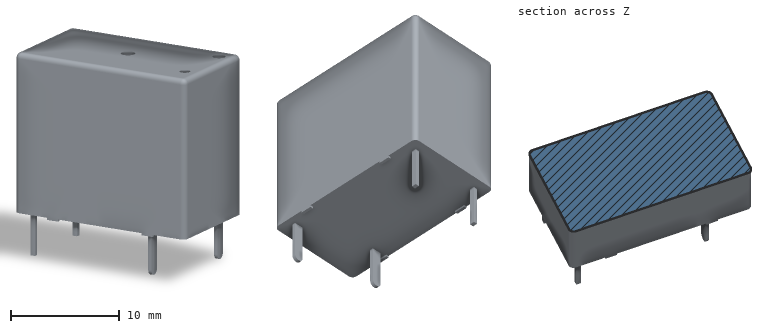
import cadquery as cq

CASE_LENGTH = 18.2
CASE_WIDTH = 10.21
CASE_HEIGHT = 15.3
CASE_EDGE_RADIUS = 0.5

STANDOFF_LENGTH = 1.15
STANDOFF_WIDTH = 0.3
STANDOFF_HEIGHT = 0.2
STANDOFF_X = 5.04

PIN_DROP = 4.2
PIN_PITCH = 2.54
PIN_ROW_Y = 1.5 * PIN_PITCH
COIL_PIN_X = -7.82
COIL_PIN_LENGTH = 0.5
COIL_PIN_WIDTH = 0.4
CONTACT_PIN_THICKNESS = 0.35
CONTACT_PIN_WIDTH = 1.0
NEAR_CONTACT_X = COIL_PIN_X + 5 * PIN_PITCH
FAR_CONTACT_X = COIL_PIN_X + 6 * PIN_PITCH

RECESS_DEPTH = 0.2
RECESSES = [
    (0, 0, 1.35),
    (7.74, 3.34, 1.2),
    (7.56, -2.52, 1.0),
]


def hanging_block(x, y, length, width, drop):
    """Rectangular block reaching from the underside of the case down by `drop`."""
    block = cq.Workplane("XY").box(length, width, drop, centered=(True, True, False))
    return block.translate((x, y, -drop))


def make_case():
    """Box with rounded vertical and top edges and a sharp bottom rim."""
    case = cq.Workplane("XY").box(CASE_LENGTH, CASE_WIDTH, CASE_HEIGHT, centered=(True, True, False))
    return case.edges("|Z or >Z").fillet(CASE_EDGE_RADIUS)


def cut_recesses(case):
    """Sink the round recesses into the top face."""
    for x, y, diameter in RECESSES:
        recess = cq.Workplane("XY").circle(diameter / 2).extrude(RECESS_DEPTH)
        case = case.cut(recess.translate((x, y, CASE_HEIGHT - RECESS_DEPTH)))
    return case


def add_standoffs(body):
    """Add four standoffs, two along each long edge."""
    standoff_y = (CASE_WIDTH - STANDOFF_WIDTH) / 2
    for x in (-STANDOFF_X, STANDOFF_X):
        for y in (-standoff_y, standoff_y):
            body = body.union(hanging_block(x, y, STANDOFF_LENGTH, STANDOFF_WIDTH, STANDOFF_HEIGHT))
    return body


def add_coil_pins(body):
    """Add the two slim square-ended pins at the -X end."""
    for y in (-PIN_ROW_Y, PIN_ROW_Y):
        body = body.union(hanging_block(COIL_PIN_X, y, COIL_PIN_LENGTH, COIL_PIN_WIDTH, PIN_DROP))
    return body


def contact_blade():
    """Flat blade hanging from z = 0 at the origin, with a fully rounded tip."""
    half_width = CONTACT_PIN_WIDTH / 2
    shoulder_z = half_width - PIN_DROP
    outline = (
        cq.Workplane("YZ")
        .moveTo(-half_width, 0)
        .lineTo(-half_width, shoulder_z)
        .threePointArc((0, -PIN_DROP), (half_width, shoulder_z))
        .lineTo(half_width, 0)
        .close()
    )
    return outline.extrude(CONTACT_PIN_THICKNESS / 2, both=True)


def add_contact_pins(body):
    """Add the two flat blade pins with round tips at the +X end."""
    for x, y in ((NEAR_CONTACT_X, -PIN_ROW_Y), (FAR_CONTACT_X, PIN_ROW_Y)):
        body = body.union(contact_blade().translate((x, y, 0)))
    return body


result = cut_recesses(make_case())
result = add_standoffs(result)
result = add_coil_pins(result)
result = add_contact_pins(result)